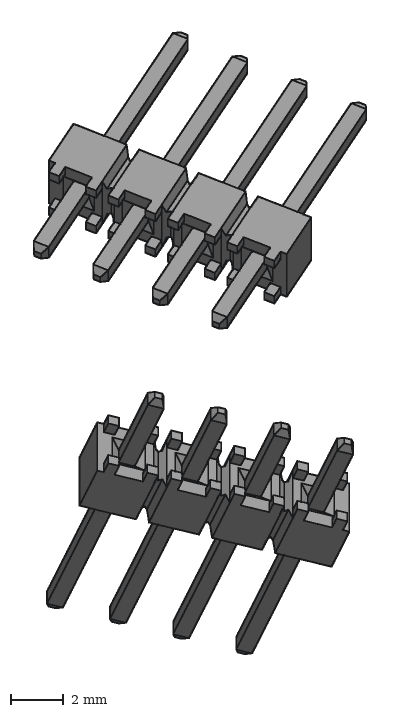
import cadquery as cq

pin_count = 4
body_length = 10.15
body_height = 2.54
pin_length = 12.19

body_depth = 2.05
gap_width = 0.52
pitch = body_length / pin_count

groove_depth = 0.51
groove_floor_width = 0.25
notch_depth = gap_width / 2

foot_width = 0.44
foot_length = 0.51
foot_span = pitch - gap_width

pin_width = 0.65
tip_width = 0.29
tip_length = 0.3
front_reach = 3.41

funnel_width = 1.33
funnel_depth = 0.24

pin_front = -pin_length / 2
pin_back = pin_length / 2
body_front = pin_front + front_reach
body_back = body_front + body_depth
body_top = body_height / 2

pin_positions = [(i - (pin_count - 1) / 2) * pitch for i in range(pin_count)]
gap_positions = [x + pitch / 2 for x in pin_positions[:-1]]


def square_taper(x, start_y, start_width, end_y, end_width):
    """Square frustum along Y, centred on a pin axis."""
    start = cq.Workplane("XZ", origin=(x, start_y, 0)).rect(start_width, start_width)
    return start.workplane(offset=start_y - end_y).rect(end_width, end_width).loft(ruled=True)


def square_bar(x, start_y, end_y, width):
    """Square bar along Y, centred on a pin axis."""
    return cq.Workplane("XZ", origin=(x, start_y, 0)).rect(width, width).extrude(start_y - end_y)


def make_pin(x):
    """Square pin with a blunt tapered tip at each end."""
    shank_front = pin_front + tip_length
    shank_back = pin_back - tip_length
    shank = square_bar(x, shank_front, shank_back, pin_width)
    front_tip = square_taper(x, pin_front, tip_width, shank_front, pin_width)
    back_tip = square_taper(x, shank_back, pin_width, pin_back, tip_width)
    return shank.union(front_tip).union(back_tip)


def make_feet(x):
    """Four feet in the corners of one block, flush with its top and bottom faces."""
    foot_x = (foot_span - foot_width) / 2
    foot_z = (body_height - foot_width) / 2
    corners = [(sx * foot_x, sz * foot_z) for sx in (-1, 1) for sz in (-1, 1)]
    return (
        cq.Workplane("XZ", origin=(x, body_front, 0))
        .pushPoints(corners)
        .rect(foot_width, foot_width)
        .extrude(foot_length)
    )


def make_groove(x, side):
    """Tapered groove along Y in the top (side = 1) or bottom (side = -1) face."""
    outer_z = side * body_top
    floor_z = side * (body_top - groove_depth)
    outline = [
        (-gap_width / 2, outer_z),
        (-groove_floor_width / 2, floor_z),
        (groove_floor_width / 2, floor_z),
        (gap_width / 2, outer_z),
    ]
    return cq.Workplane("XZ", origin=(x, body_front, 0)).polyline(outline).close().extrude(-body_depth)


def make_notch(x, face_y, inward):
    """V notch over the full height; inward is the Y direction into the housing."""
    outline = [
        (x - gap_width / 2, face_y),
        (x, face_y + inward * notch_depth),
        (x + gap_width / 2, face_y),
    ]
    return cq.Workplane("XY", origin=(0, 0, -body_top)).polyline(outline).close().extrude(body_height)


housing = (
    cq.Workplane("XY")
    .box(body_length, body_depth, body_height)
    .translate((0, (body_front + body_back) / 2, 0))
)
for x in gap_positions:
    for side in (1, -1):
        housing = housing.cut(make_groove(x, side))
    housing = housing.cut(make_notch(x, body_front, 1))
    housing = housing.cut(make_notch(x, body_back, -1))

result = housing
for x in pin_positions:
    funnel = square_taper(x, body_front, funnel_width, body_front + funnel_depth, pin_width)
    result = result.cut(funnel).union(make_feet(x)).union(make_pin(x))